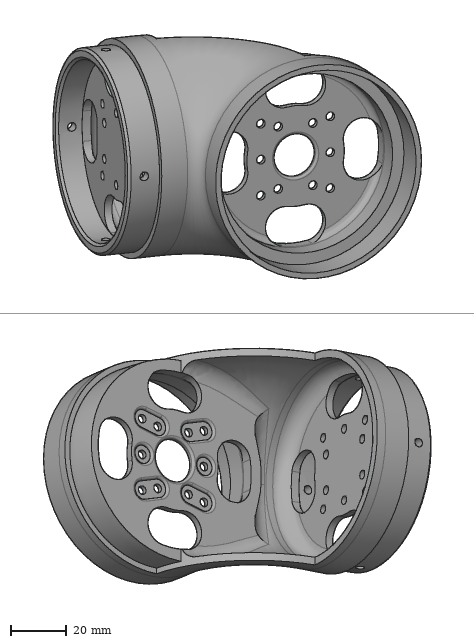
import cadquery as cq
import math

tube_radius = 40.0
bend_radius = 44.9
straight_length = 10.1

spigot_radius = 37.8
spigot_length = 12.0
bore_radius = 33.5
end_chamfer = 1.0
socket_clearance = 0.1
pin_hole_radius = 1.6
pin_y = 6.1

void_radius = 37.1
void_fillet = 6.0
seat_radius = spigot_radius + socket_clearance
rim_length = 3.6

plate_thickness = 3.0
inlet_plate_y = 10.1
outlet_plate_x = 29.4
cup_fillet = 2.6

lobe_inner_radius = 18.9
lobe_outer_radius = bore_radius - 0.1
lobe_half_angle = 9.8
screw_hole_radius = 1.6
screw_pitch = 13.5
inner_screw_angle = 60
shaft_hole_radius = 8.0
recess_radius = 3.4
recess_depth = 1.1
mouth_fillet = 1.0

bend_start_y = spigot_length + straight_length
outlet_y = bend_start_y + bend_radius
outlet_x = bend_radius + straight_length
inlet_plate_back = inlet_plate_y + plate_thickness
outlet_plate_front = outlet_plate_x + plate_thickness

inlet_plane = cq.Plane((0, inlet_plate_y, 0), (0, 0, 1), (0, 1, 0))
outlet_plane = cq.Plane((outlet_plate_x, outlet_y, 0), (0, 1, 0), (1, 0, 0))


def cylinder_y(radius, y_start, y_end):
    """Cylinder about the inlet axis."""
    plane = cq.Plane((0, y_start, 0), (1, 0, 0), (0, 1, 0))
    return cq.Workplane(plane).circle(radius).extrude(y_end - y_start)


def cylinder_x(radius, x_start, x_end):
    """Cylinder about the outlet axis."""
    plane = cq.Plane((x_start, outlet_y, 0), (0, 1, 0), (1, 0, 0))
    return cq.Workplane(plane).circle(radius).extrude(x_end - x_start)


def bend(radius):
    """Quarter torus joining the two straight ends."""
    plane = cq.Plane((0, bend_start_y, 0), (1, 0, 0), (0, -1, 0))
    return cq.Workplane(plane).circle(radius).revolve(90, (bend_radius, 0, 0), (bend_radius, -1, 0))


def placed(tool, plane):
    """Move a tool modelled about the origin onto a plate plane."""
    return cq.Workplane(tool.val().moved(cq.Location(plane)))


def outer_body():
    spigot = cylinder_y(spigot_radius, 0, bend_start_y)
    inlet = cylinder_y(tube_radius, spigot_length, bend_start_y)
    outlet = cylinder_x(tube_radius, bend_radius, outlet_x)
    return bend(tube_radius).union(inlet).union(outlet).union(spigot)


def bend_void():
    """Hollow of the bend, ending on the inlet plate and shaped round the outlet cup."""
    hollow = bend(void_radius).union(cylinder_y(void_radius, inlet_plate_back, bend_start_y))
    hollow = hollow.cut(cylinder_x(spigot_radius, outlet_plate_x, outlet_x))
    hollow = hollow.edges("%BSPLINE").fillet(void_fillet)
    return hollow.faces("<Y").edges().fillet(void_fillet)


def outlet_cavity():
    """Shaft hole and cup in front of the outlet plate, widened to a socket at the open end."""
    cup = cylinder_x(bore_radius, outlet_plate_front, outlet_x)
    cavity = cup.union(cylinder_x(shaft_hole_radius, outlet_plate_x, outlet_plate_front))
    smallest_circles = cq.selectors.RadiusNthSelector(0)
    largest_circles = cq.selectors.RadiusNthSelector(-1)
    cavity = cavity.edges(smallest_circles).edges(">X").fillet(mouth_fillet)
    cavity = cavity.edges(largest_circles).edges("<X").fillet(cup_fillet)
    return cavity.union(cylinder_x(seat_radius, outlet_x - spigot_length, outlet_x))


def cover_opening():
    """Outer half of the bend between the two rims, leaving the outlet cup in place."""
    size = 2 * outlet_y
    x_end = bend_radius - rim_length
    y_start = bend_start_y + rim_length
    region = cq.Workplane().box(size, size, size).translate((x_end - size / 2, y_start + size / 2, 0))
    inner_half = (
        cq.Workplane()
        .center(bend_radius, bend_start_y)
        .circle(bend_radius)
        .extrude(size, both=True)
    )
    cup = bend(seat_radius).intersect(cylinder_x(size, outlet_plate_x, outlet_x))
    return region.cut(inner_half).cut(cup)


def polar(radius, degrees):
    angle = math.radians(degrees)
    return (radius * math.cos(angle), radius * math.sin(angle))


def lobe_end(side):
    """Tip of the round end of a lobe; side is +1 or -1."""
    angle = side * lobe_half_angle
    center_x, center_y = polar((lobe_inner_radius + lobe_outer_radius) / 2, angle)
    step_x, step_y = polar((lobe_outer_radius - lobe_inner_radius) / 2, angle + side * 90)
    return (center_x + step_x, center_y + step_y)


def lobes():
    """Four curved slots, long enough to clear the fillets on both sides of a plate."""
    lobe = (
        cq.Workplane(origin=(0, 0, -void_fillet))
        .moveTo(*polar(lobe_inner_radius, -lobe_half_angle))
        .threePointArc((lobe_inner_radius, 0), polar(lobe_inner_radius, lobe_half_angle))
        .threePointArc(lobe_end(1), polar(lobe_outer_radius, lobe_half_angle))
        .threePointArc((lobe_outer_radius, 0), polar(lobe_outer_radius, -lobe_half_angle))
        .threePointArc(lobe_end(-1), polar(lobe_inner_radius, -lobe_half_angle))
        .close()
        .extrude(plate_thickness + 2 * void_fillet)
    )
    pattern = lobe
    for turn in (90, 180, 270):
        pattern = pattern.union(lobe.rotate((0, 0, 0), (0, 0, 1), turn))
    return pattern


def screw_groups():
    """Screw positions: four corner pairs and two singles."""
    inner_x, inner_y = polar(screw_pitch, inner_screw_angle)
    pairs = []
    for side_x in (-1, 1):
        for side_y in (-1, 1):
            corner = (side_x * screw_pitch, side_y * screw_pitch)
            pairs.append((corner, (side_x * inner_x, side_y * inner_y)))
    singles = [(-screw_pitch, 0), (screw_pitch, 0)]
    return pairs, singles


def screw_holes():
    pairs, singles = screw_groups()
    points = singles + [point for pair in pairs for point in pair]
    return cq.Workplane().pushPoints(points).circle(screw_hole_radius).extrude(plate_thickness)


def outlet_recesses():
    """Shaft hole and screw recesses with rounded mouths, sunk from Z = 0."""
    pairs, singles = screw_groups()
    slab_size = 2 * bore_radius
    tool = cq.Workplane().rect(slab_size, slab_size).extrude(-recess_depth)
    tool = tool.union(cq.Workplane().circle(shaft_hole_radius).extrude(plate_thickness))
    tool = tool.union(cq.Workplane().pushPoints(singles).circle(recess_radius).extrude(recess_depth))
    for (x1, y1), (x2, y2) in pairs:
        length = math.hypot(x2 - x1, y2 - y1) + 2 * recess_radius
        angle = math.degrees(math.atan2(y2 - y1, x2 - x1))
        middle = cq.Workplane().center((x1 + x2) / 2, (y1 + y2) / 2)
        tool = tool.union(middle.slot2D(length, 2 * recess_radius, angle).extrude(recess_depth))
    reach = bore_radius / 2
    tolerance = recess_depth / 10
    mouths = cq.selectors.BoxSelector((-reach, -reach, -tolerance), (reach, reach, tolerance))
    tool = tool.edges(mouths).fillet(mouth_fillet)
    return tool.intersect(cq.Workplane().rect(slab_size, slab_size).extrude(plate_thickness))


def pin_holes():
    """Radial pin holes through the spigot along Z and along X."""
    hole = cq.Workplane().center(0, pin_y).circle(pin_hole_radius).extrude(tube_radius, both=True)
    return hole.union(hole.rotate((0, 0, 0), (0, 1, 0), 90))


body = outer_body().cut(bend_void())
body = body.cut(cylinder_y(bore_radius, 0, inlet_plate_y))
body = body.faces("<Y").edges().chamfer(end_chamfer)
body = body.cut(outlet_cavity())
body = body.cut(cover_opening())
for plate_plane in (inlet_plane, outlet_plane):
    body = body.cut(placed(lobes(), plate_plane))
    body = body.cut(placed(screw_holes(), plate_plane))
body = body.cut(placed(outlet_recesses(), outlet_plane))
result = body.cut(pin_holes())